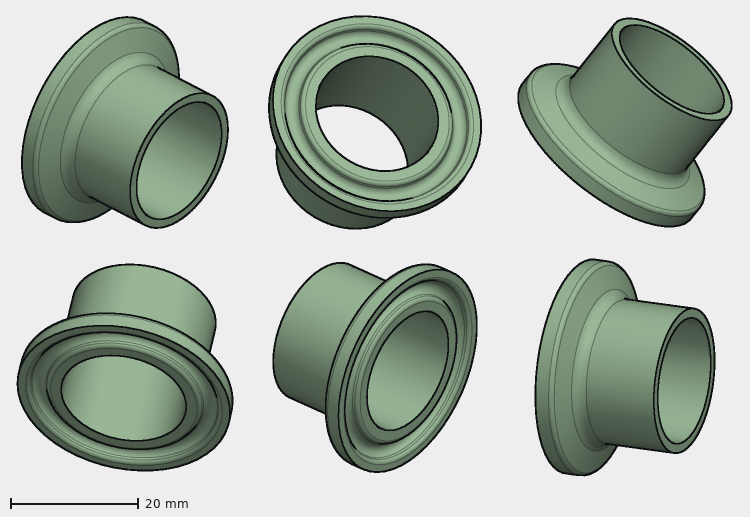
import cadquery as cq
import math

length = 18.0
flange_radius = 34 / 2
tube_radius = 23.0 / 2
bore_radius = 20.0 / 2

slope = math.radians(20)
rim_width = 2.28
rim_fillet = 0.78
neck_fillet = 2.05

groove_inner_radius = 11.73
groove_outer_radius = 15.7
lip_radius = 0.75
bottom_radius = 1.22

edge_margin = 0.05

setback = math.tan((math.pi / 2 - slope) / 2)


def ring(profile):
    """Revolve a closed (x, radius) profile around the X axis."""
    return profile.close().revolve(360, (0, 0, 0), (1, 0, 0))


def circle_at(x):
    """Select the edges lying around the given position along X."""
    return cq.selectors.BoxSelector(
        (x - edge_margin, -flange_radius, -flange_radius),
        (x + edge_margin, flange_radius, flange_radius),
    )


def ferrule_body():
    rim_corner = rim_width + rim_fillet * setback
    neck_corner = rim_corner + (flange_radius - tube_radius) * math.tan(slope)
    body = ring(
        cq.Workplane("XY")
        .moveTo(0, bore_radius)
        .lineTo(0, flange_radius)
        .lineTo(rim_corner, flange_radius)
        .lineTo(neck_corner, tube_radius)
        .lineTo(length, tube_radius)
        .lineTo(length, bore_radius)
    )
    body = body.edges(circle_at(rim_corner)).fillet(rim_fillet)
    return body.edges(circle_at(neck_corner)).fillet(neck_fillet)


def gasket_groove():
    middle = (groove_inner_radius + groove_outer_radius) / 2
    half_width = (groove_outer_radius - groove_inner_radius) / 2


    turn = math.pi / 2 - slope
    lip_end_offset = half_width - lip_radius * math.sin(turn)
    lip_end_depth = lip_radius * (1 - math.cos(turn))
    lip_mid_offset = half_width - lip_radius * math.sin(turn / 2)
    lip_mid_depth = lip_radius * (1 - math.cos(turn / 2))

    wall_end_offset = bottom_radius * math.sin(turn)
    wall_end_depth = lip_end_depth + (lip_end_offset - wall_end_offset) / math.tan(slope)
    depth = wall_end_depth + bottom_radius * (1 - math.cos(turn))

    return ring(
        cq.Workplane("XY")
        .moveTo(0, middle - half_width)
        .threePointArc((lip_mid_depth, middle - lip_mid_offset), (lip_end_depth, middle - lip_end_offset))
        .lineTo(wall_end_depth, middle - wall_end_offset)
        .threePointArc((depth, middle), (wall_end_depth, middle + wall_end_offset))
        .lineTo(lip_end_depth, middle + lip_end_offset)
        .threePointArc((lip_mid_depth, middle + lip_mid_offset), (0, middle + half_width))
    )


result = ferrule_body().cut(gasket_groove())